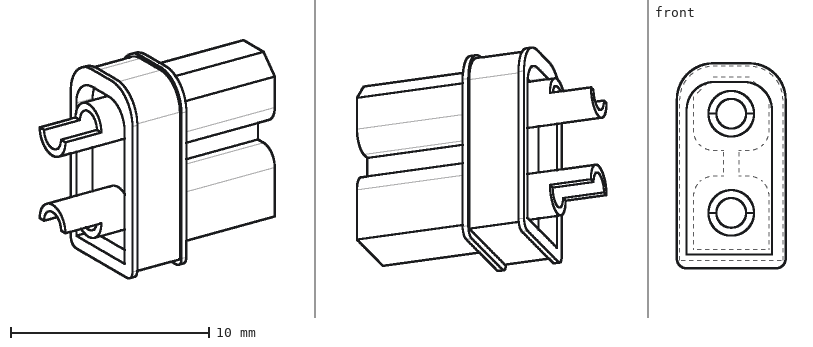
import cadquery as cq


flange_width = 5.5
flange_height = 10.35
flange_thickness = 0.3
flange_bottom_radius = 0.5
housing_length = 3.3
rim_step = 0.15
rim_step_bottom = 0.4
body_width = flange_width - 2 * rim_step
body_height = flange_height - rim_step - rim_step_bottom
body_top_radius = 1.7
flange_top_radius = body_top_radius + rim_step

recess_width = 4.3
recess_height = 8.7
recess_bottom = 0.7
recess_top_radius = 1.4
recess_depth = 1.0
recess_offset = -0.1

plug_width = 3.8
plug_height = 8.7
plug_bottom = 0.95
plug_length = 6.0
plug_chamfer = 1.0
lobe_height = 3.7
lobe_radius = 1.0
neck_width = 0.8

cup_diameter = 2.3
cup_bore = 1.5
cup_spacing = 5.0
lower_cup_z = 2.8
cup_length = 3.0
cup_cut_length = 2.2
cup_bore_depth = cup_length + recess_depth


def block(width, height, bottom, start, length):
    """Box centred on X = 0, standing on Z = bottom and running from Y = start towards +Y."""
    box = cq.Workplane("XY").box(width, length, height, centered=(True, False, False))
    return box.translate((0, start, bottom))


def arched_block(width, height, bottom, radius, start, length):
    """Block whose two upper long edges are rounded."""
    return block(width, height, bottom, start, length).edges("|Y and >Z").fillet(radius)


def cylinder(diameter, z, start, length):
    """Cylinder along Y, running from Y = start towards +Y."""
    return cq.Workplane("XZ", origin=(0, start, z)).circle(diameter / 2).extrude(-length)


def make_flange(start):
    flange = arched_block(flange_width, flange_height, 0, flange_top_radius, start, flange_thickness)
    return flange.edges("|Y and <Z").fillet(flange_bottom_radius)


def make_housing():
    housing = arched_block(body_width, body_height, rim_step_bottom, body_top_radius, 0, housing_length)
    for start in (0, housing_length - flange_thickness):
        housing = housing.union(make_flange(start))
    recess = arched_block(recess_width, recess_height, recess_bottom, recess_top_radius, 0, recess_depth)
    return housing.cut(recess.translate((recess_offset, 0, 0)))


def make_plug():
    """Two lobes joined by a narrow neck, with rounded edges facing each other across the gap."""
    upper_bottom = plug_bottom + plug_height - lobe_height
    lower = arched_block(plug_width, lobe_height, plug_bottom, lobe_radius, housing_length, plug_length)
    upper = block(plug_width, lobe_height, upper_bottom, housing_length, plug_length)
    upper = upper.edges("|Y and <Z").fillet(lobe_radius)
    upper = upper.edges("|Y and >Z").chamfer(plug_chamfer)
    neck_height = plug_height - lobe_height
    neck_bottom = plug_bottom + lobe_height / 2
    neck = block(neck_width, neck_height, neck_bottom, housing_length, plug_length)
    return lower.union(upper).union(neck)


def make_cup(z, open_side):
    """Solder cup rooted in the recess floor; open_side is +1 when it opens upwards, -1 downwards."""
    cup = cylinder(cup_diameter, z, -cup_length, cup_length + recess_depth)
    cup = cup.cut(cylinder(cup_bore, z, -cup_length, cup_bore_depth))
    opening_bottom = z if open_side > 0 else z - cup_diameter
    return cup.cut(block(cup_diameter, cup_diameter, opening_bottom, -cup_length, cup_cut_length))


result = make_housing().union(make_plug())
for cup_z, open_side in ((lower_cup_z, -1), (lower_cup_z + cup_spacing, 1)):
    result = result.union(make_cup(cup_z, open_side))